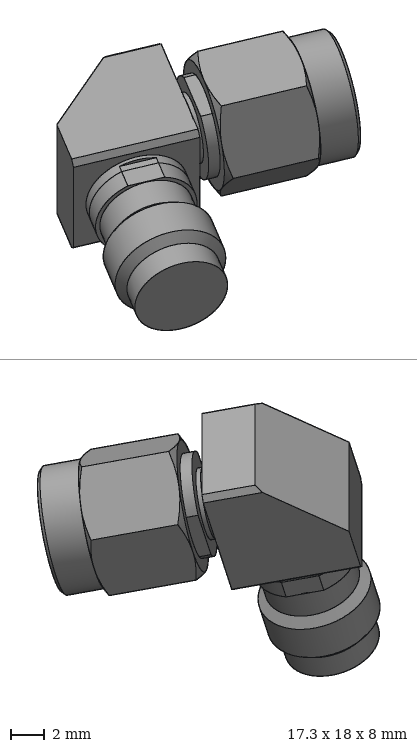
import cadquery as cq
import math


OVERALL_LENGTH = 18.0

BLOCK_HALF = 3.95
BLOCK_HALF_HEIGHT = 3.92
BLOCK_CHAMFER = 0.36
MITRE_LEG = 4.63

NECK_BASE_RADIUS = 2.47
NECK_RADIUS = 2.18
NECK_CONE_START = 4.15
NECK_CONE_END = NECK_CONE_START + NECK_BASE_RADIUS - NECK_RADIUS
FLANGE_START = 4.73
FLANGE_RADIUS = 3.19
FLANGE_FLATS = 5.47
FLANGE_LENGTH = 1.64

NUT_START = 5.45
NUT_HEX_LENGTH = 6.03
NUT_ACROSS_FLATS = 8.0
NUT_CHAMFER_ANGLE = 30.0
NUT_END = OVERALL_LENGTH - BLOCK_HALF
NUT_SLEEVE_RADIUS = 3.92
NUT_SLEEVE_CHAMFER = 0.22
NUT_BORE_RADIUS = FLANGE_RADIUS

COLLAR_RADIUS = 3.17
COLLAR_FLATS = 5.9
COLLAR_FLATS_START = 4.18
BOSS_END = 4.6
COLLAR_END = 5.81

BARREL_RADIUS = 2.9
BARREL_END = 12.65
BAND_START = 7.65
BAND_LENGTH = 3.45
BAND_RADIUS = 3.45
BAND_CHAMFER = BAND_RADIUS - BARREL_RADIUS


def disc_y(radius, start, end):
    """Cylinder on the nut axis from Y = start to Y = end."""
    return cq.Workplane("XZ", origin=(0, start, 0)).circle(radius).extrude(start - end)


def disc_x(radius, start, end):
    """Cylinder on the jack axis from X = start to X = end."""
    return cq.Workplane("YZ", origin=(start, 0, 0)).circle(radius).extrude(end - start)


def slab_x(start, end, across_flats):
    """Slab bounded by the two wrench flats, from X = start to X = end."""
    width = 2 * COLLAR_RADIUS
    return cq.Workplane("XY").box(end - start, width, across_flats).translate(((start + end) / 2, 0, 0))


def make_block():
    block = (
        cq.Workplane("XY")
        .box(2 * BLOCK_HALF, 2 * BLOCK_HALF, 2 * BLOCK_HALF_HEIGHT)
        .faces("<X or >X")
        .edges("|Y")
        .chamfer(BLOCK_CHAMFER)
    )
    mitre = (
        cq.Workplane("XY", origin=(0, 0, -BLOCK_HALF_HEIGHT))
        .moveTo(-BLOCK_HALF, -BLOCK_HALF)
        .lineTo(MITRE_LEG - BLOCK_HALF, -BLOCK_HALF)
        .lineTo(-BLOCK_HALF, MITRE_LEG - BLOCK_HALF)
        .close()
        .extrude(2 * BLOCK_HALF_HEIGHT)
    )
    return block.cut(mitre)


def make_neck():
    return (
        cq.Workplane("XY")
        .moveTo(0, BLOCK_HALF)
        .lineTo(NECK_BASE_RADIUS, BLOCK_HALF)
        .lineTo(NECK_BASE_RADIUS, NECK_CONE_START)
        .lineTo(NECK_RADIUS, NECK_CONE_END)
        .lineTo(NECK_RADIUS, FLANGE_START)
        .lineTo(0, FLANGE_START)
        .close()
        .revolve(360, (0, 0, 0), (0, 1, 0))
    )


def make_flange():
    flats = (
        cq.Workplane("XY")
        .box(2 * FLANGE_RADIUS, FLANGE_LENGTH, FLANGE_FLATS)
        .translate((0, FLANGE_START + FLANGE_LENGTH / 2, 0))
    )
    return disc_y(FLANGE_RADIUS, FLANGE_START, FLANGE_START + FLANGE_LENGTH).intersect(flats)


def make_boss():
    root = disc_x(COLLAR_RADIUS, BLOCK_HALF, COLLAR_FLATS_START)
    flatted = disc_x(COLLAR_RADIUS, COLLAR_FLATS_START, BOSS_END).intersect(
        slab_x(COLLAR_FLATS_START, BOSS_END, COLLAR_FLATS)
    )
    return root.union(flatted)


def make_housing():
    return make_block().union(make_neck()).union(make_flange()).union(make_boss())


def make_nut():
    corner_radius = NUT_ACROSS_FLATS / 2 / math.cos(math.radians(30))
    face_radius = NUT_ACROSS_FLATS / 2
    chamfer_depth = (corner_radius - face_radius) * math.tan(math.radians(NUT_CHAMFER_ANGLE))
    hex_end = NUT_START + NUT_HEX_LENGTH

    hexagon = (
        cq.Workplane("XZ", origin=(0, NUT_START, 0))
        .polygon(6, 2 * corner_radius)
        .extrude(-NUT_HEX_LENGTH)
    )
    blank = (
        cq.Workplane("XY")
        .moveTo(0, NUT_START)
        .lineTo(face_radius, NUT_START)
        .lineTo(corner_radius, NUT_START + chamfer_depth)
        .lineTo(corner_radius, hex_end - chamfer_depth)
        .lineTo(face_radius, hex_end)
        .lineTo(0, hex_end)
        .close()
        .revolve(360, (0, 0, 0), (0, 1, 0))
    )
    sleeve = disc_y(NUT_SLEEVE_RADIUS, hex_end, NUT_END).faces(">Y").chamfer(NUT_SLEEVE_CHAMFER)
    bore = disc_y(NUT_BORE_RADIUS, NUT_START, NUT_END)
    return hexagon.intersect(blank).union(sleeve).cut(bore)


def make_jack():
    collar = disc_x(COLLAR_RADIUS, BOSS_END, COLLAR_END).intersect(
        slab_x(BOSS_END, COLLAR_END, COLLAR_FLATS)
    )
    barrel = disc_x(BARREL_RADIUS, COLLAR_END, BARREL_END)
    band_end = BAND_START + BAND_LENGTH
    band = disc_x(BAND_RADIUS, BAND_START, band_end).faces("<X or >X").chamfer(BAND_CHAMFER)
    return collar.union(barrel).union(band)


housing = make_housing()
nut = make_nut()
jack = make_jack()

result = cq.Compound.makeCompound([housing.val(), nut.val(), jack.val()])